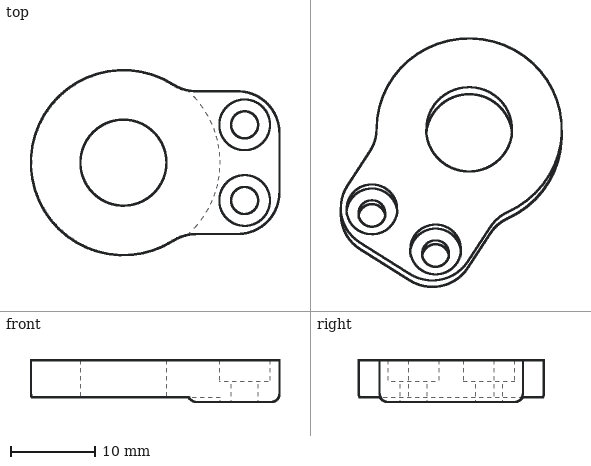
import cadquery as cq
import math

total_length = 29.5
ring_diameter = 21.98
total_height = 5.0
bore_diameter = 10.18
tab_width = 16.95
tab_corner_radius = 5.0
neck_radius = 5.0
bottom_fillet_radius = 1.0
relief_depth = 0.55
relief_radius = 11.45
screw_axis_x = 14.37
screw_spacing = 8.97
screw_hole_diameter = 3.2
counterbore_diameter = 6.02
counterbore_depth = 2.5

ring_radius = ring_diameter / 2
tab_end_x = total_length - ring_radius
tab_half_width = tab_width / 2


def make_body():
    """Round plate blended into a rounded tab, with its bottom edge filleted."""
    neck_center_y = tab_half_width + neck_radius
    center_distance = ring_radius + neck_radius
    neck_center_x = math.sqrt(center_distance**2 - neck_center_y**2)
    ring_share = ring_radius / center_distance
    tangent_x = neck_center_x * ring_share
    tangent_y = neck_center_y * ring_share
    corner_start_x = tab_end_x - tab_corner_radius
    corner_end_y = tab_half_width - tab_corner_radius

    outline = (
        cq.Workplane("XY")
        .moveTo(tangent_x, -tangent_y)
        .radiusArc((neck_center_x, -tab_half_width), neck_radius)
        .lineTo(corner_start_x, -tab_half_width)
        .radiusArc((tab_end_x, -corner_end_y), -tab_corner_radius)
        .lineTo(tab_end_x, corner_end_y)
        .radiusArc((corner_start_x, tab_half_width), -tab_corner_radius)
        .lineTo(neck_center_x, tab_half_width)
        .radiusArc((tangent_x, tangent_y), neck_radius)
        .threePointArc((-ring_radius, 0), (tangent_x, -tangent_y))
        .close()
    )
    return outline.extrude(total_height).faces("<Z").edges().fillet(bottom_fillet_radius)


def make_screw_hole(y):
    """Through hole with a counterbore sunk from the top face."""
    hole = cq.Workplane("XY").center(screw_axis_x, y).circle(screw_hole_diameter / 2).extrude(total_height)
    counterbore = (
        cq.Workplane("XY", origin=(screw_axis_x, y, total_height))
        .circle(counterbore_diameter / 2)
        .extrude(-counterbore_depth)
    )
    return hole.union(counterbore)


relief = cq.Workplane("XY").circle(relief_radius).extrude(relief_depth)
bore = cq.Workplane("XY").circle(bore_diameter / 2).extrude(total_height)

result = make_body().cut(relief).cut(bore)
for side in (-1, 1):
    result = result.cut(make_screw_hole(side * screw_spacing / 2))